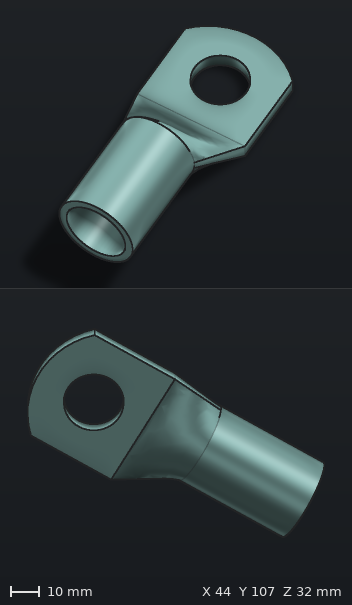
import cadquery as cq
import math

total_length = 107.0
palm_width = 44.0
palm_thickness = 6.0
palm_length = 42.0
palm_corner_drop = 9.4
hole_diameter = 21.0
hole_to_tip = 22.0
barrel_diameter = 30.0
bore_diameter = 24.0
barrel_length = 42.0
barrel_lift = 2.0
neck_strip_height = 3.2
neck_crest = [(5.8, 2.2), (11.7, 9.5), (18.7, 20.4)]

barrel_axis_z = barrel_lift + barrel_diameter / 2
palm_start = total_length - palm_length
neck_length = palm_start - barrel_length


def y_plane(y, z):
    """Plane across the part at y, with its normal along +Y and its local y along +Z."""
    return cq.Plane(origin=(0, y, z), xDir=(-1, 0, 0), normal=(0, 1, 0))


def make_palm():
    half_width = palm_width / 2
    corner_y = total_length - palm_corner_drop
    blank = (
        cq.Workplane("XY")
        .moveTo(-half_width, palm_start)
        .lineTo(half_width, palm_start)
        .lineTo(half_width, corner_y)
        .threePointArc((0, total_length), (-half_width, corner_y))
        .close()
        .extrude(palm_thickness)
    )
    hole = (
        cq.Workplane("XY")
        .center(0, total_length - hole_to_tip)
        .circle(hole_diameter / 2)
        .extrude(palm_thickness)
    )
    return blank.cut(hole)


def blend(palm_value, barrel_value, distance):
    """Value on a straight line along the neck, at a distance from the palm."""
    return palm_value + (barrel_value - palm_value) * distance / neck_length


def neck_section(distance, crest_z):
    """Outline of the neck: arched top, near-flat side strips and bowed underside."""
    radius = barrel_diameter / 2
    strip_half_height = neck_strip_height / 2
    strip_half_width = math.sqrt(radius**2 - strip_half_height**2)

    corner_x = blend(palm_width / 2, strip_half_width, distance)
    middle_x = blend(palm_width / 2, radius, distance)
    upper_z = blend(palm_thickness, barrel_axis_z + strip_half_height, distance)
    lower_z = blend(0, barrel_axis_z - strip_half_height, distance)
    middle_z = (upper_z + lower_z) / 2
    bottom_z = blend(0, barrel_lift, distance)

    corners = [(-corner_x, upper_z), (corner_x, upper_z), (corner_x, lower_z), (-corner_x, lower_z)]
    middles = [(0, crest_z), (middle_x, middle_z), (0, bottom_z), (-middle_x, middle_z)]
    at_palm = distance == 0

    edges = []
    for index, middle in enumerate(middles):
        start, through, end = (
            cq.Vector(x, palm_start - distance, z)
            for x, z in (corners[index], middle, corners[(index + 1) % len(corners)])
        )
        if at_palm:
            edges.append(cq.Edge.makeLine(start, end))
        else:
            edges.append(cq.Edge.makeThreePointArc(start, through, end))
    return cq.Wire.assembleEdges(edges)


def make_neck():
    """Smooth blend from the flat palm to the round barrel, with an S-shaped crest."""
    sections = [neck_section(0, palm_thickness)]
    for distance, rise in neck_crest:
        sections.append(neck_section(distance, palm_thickness + rise))
    sections.append(neck_section(neck_length, barrel_lift + barrel_diameter))
    return cq.Workplane(cq.Solid.makeLoft(sections))


def make_barrel():
    barrel = cq.Workplane(y_plane(0, barrel_axis_z)).circle(barrel_diameter / 2).extrude(barrel_length)
    bore = cq.Workplane(y_plane(0, barrel_axis_z)).circle(bore_diameter / 2).extrude(barrel_length)
    return barrel.cut(bore)


result = make_palm().union(make_neck()).union(make_barrel())